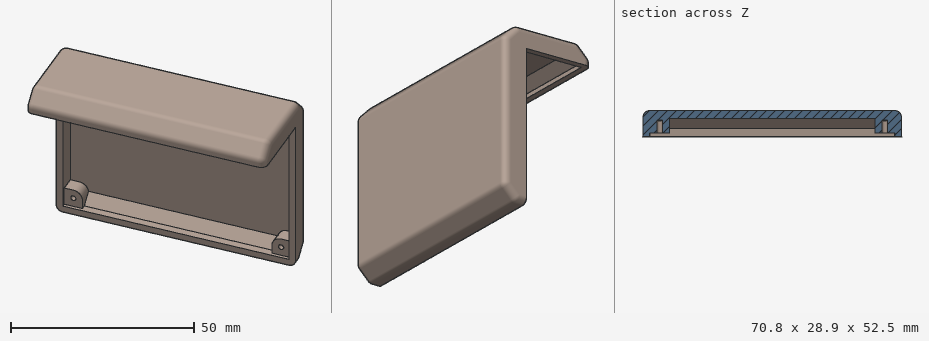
import cadquery as cq

width = 70.8
depth = 28.9
height = 52.5

tray_depth = 7.3
hood_height = 6.3
wall = 2.0
inner_chamfer = 3.0

boss_size = 5.4
boss_radius = boss_size / 2
boss_setback = 1.0
hole_diameter = 1.5
hole_depth = 3.55

back = depth / 2
front = -depth / 2
top = height / 2
bottom = -height / 2
tray_face = back - tray_depth
hood_face = top - hood_height
cavity_width = width - 2 * wall

ROOT_TWO = 2 ** 0.5
outer_chamfer = inner_chamfer + wall * (2 - ROOT_TWO)


def angle_prism(length, inset, bevel):
    """L-shaped prism along X, inset from the outer faces, with bevelled corners."""
    y_front, y_back = front + inset, back - inset
    z_bottom, z_top = bottom + inset, top - inset
    outline = [
        (tray_face, z_bottom),
        (y_back - bevel, z_bottom),
        (y_back, z_bottom + bevel),
        (y_back, z_top - bevel),
        (y_back - bevel, z_top),
        (y_front + bevel, z_top),
        (y_front, z_top - bevel),
        (y_front, hood_face),
        (tray_face, hood_face),
    ]
    return cq.Workplane("YZ").polyline(outline).close().extrude(length / 2, both=True)


def rounded_body():
    """Outer form with every edge rounded except those of the two open faces."""
    body = angle_prism(width, 0, outer_chamfer)
    margin = 0.1
    open_edges = cq.selectors.BoxSelector(
        (-width / 2 - margin, front - margin, bottom - margin),
        (width / 2 + margin, tray_face + margin, hood_face + margin),
        boundingbox=True,
    )
    return body.edges(cq.selectors.InverseSelector(open_edges)).fillet(wall)


def boss(side):
    """Boss filling a lower cavity corner; side is -1 or 1 along X."""
    corner_x = side * cavity_width / 2
    inner_x = corner_x - side * boss_size
    base_z = bottom + wall
    top_z = base_z + boss_size
    centre_x = corner_x - side * boss_radius
    centre_z = base_z + boss_radius
    boss_face = tray_face + boss_setback
    arc_offset = boss_radius / ROOT_TWO
    block = (
        cq.Workplane("XZ", origin=(0, boss_face, 0))
        .moveTo(corner_x, base_z)
        .lineTo(inner_x, base_z)
        .lineTo(inner_x, centre_z)
        .threePointArc((centre_x - side * arc_offset, centre_z + arc_offset), (centre_x, top_z))
        .lineTo(corner_x, top_z)
        .close()
        .extrude(boss_face - back)
    )
    hole = (
        cq.Workplane("XZ", origin=(centre_x, boss_face, centre_z))
        .circle(hole_diameter / 2)
        .extrude(-hole_depth)
    )
    return block.cut(hole)


cavity = angle_prism(cavity_width, wall, inner_chamfer)
result = rounded_body().cut(cavity)
for side in (-1, 1):
    result = result.union(boss(side).intersect(cavity))